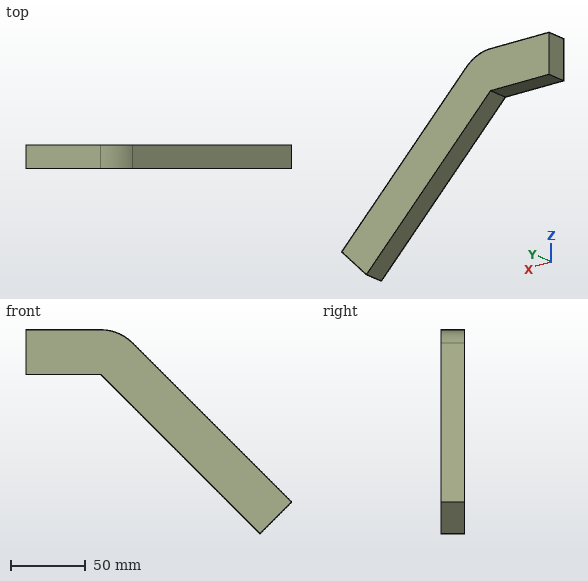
import cadquery as cq
import math

overall_length = 177.3
thickness = 16.0
bar_width = 30.0
long_arm = 150.2
bend_angle = 45.0

slope = math.radians(bend_angle)
short_arm = overall_length - long_arm * math.cos(slope) - bar_width * math.sin(slope)


def around_bend(along, across, angle=slope):
    """Point measured from the inner bend corner, along and across an arm sloping down by angle."""
    x = short_arm + along * math.cos(angle) + across * math.sin(angle)
    z = -along * math.sin(angle) + across * math.cos(angle)
    return (x, z)


result = (
    cq.Workplane("XZ")
    .moveTo(0, 0)
    .lineTo(0, bar_width)
    .lineTo(short_arm, bar_width)
    .threePointArc(around_bend(0, bar_width, slope / 2), around_bend(0, bar_width))
    .lineTo(*around_bend(long_arm, bar_width))
    .lineTo(*around_bend(long_arm, 0))
    .lineTo(short_arm, 0)
    .close()
    .extrude(thickness)
)